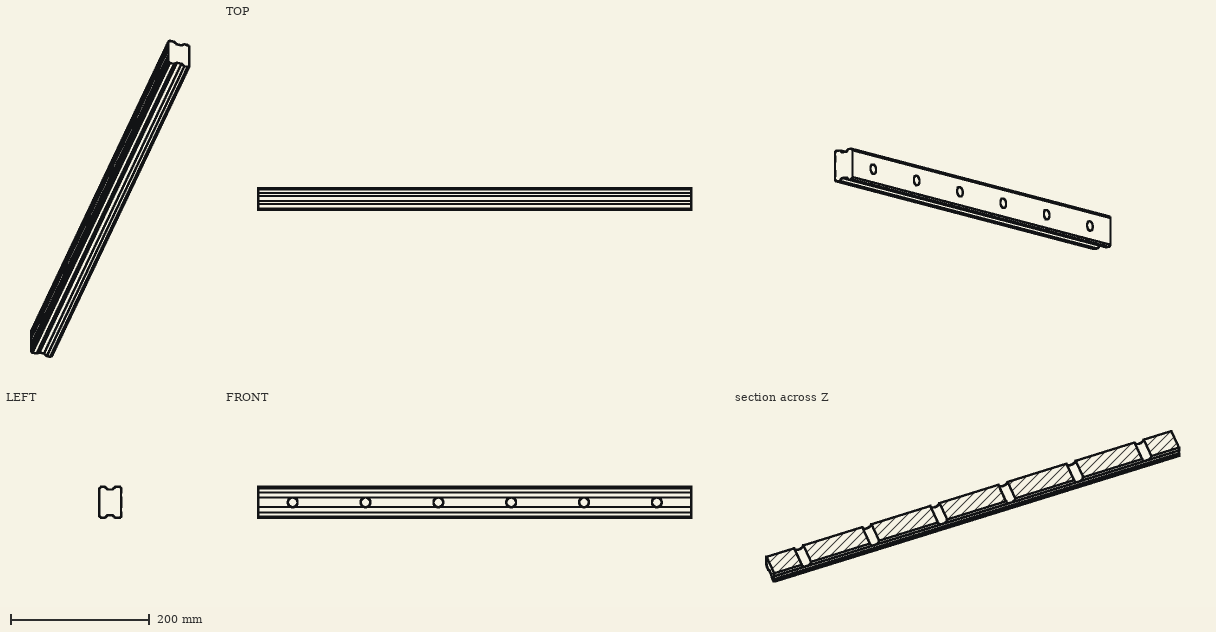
import cadquery as cq

length = 625.0
depth = 32.0
height = 45.0

rear_chamfer = 2.8
front_chamfer = 2.2

groove_depth = 4.0
groove_rear_lip = 8.0
groove_rear_floor = 4.0
groove_front_floor = -3.0
groove_front_lip = -7.5

relief_inner = 7.0
relief_outer = 14.5
relief_depth = 0.3

hole_count = 6
hole_pitch = 105.0
hole_diameter = 14.0

half_depth = depth / 2
half_height = height / 2


def make_rail():
    """Extrude the symmetric grooved section along X."""
    groove_floor = half_height - groove_depth
    upper_outline = [
        (half_depth, half_height - rear_chamfer),
        (half_depth - rear_chamfer, half_height),
        (groove_rear_lip, half_height),
        (groove_rear_floor, groove_floor),
        (groove_front_floor, groove_floor),
        (groove_front_lip, half_height),
        (-half_depth + front_chamfer, half_height),
        (-half_depth, half_height - front_chamfer),
    ]
    lower_outline = [(y, -z) for y, z in reversed(upper_outline)]
    section = cq.Workplane("YZ").polyline(upper_outline + lower_outline).close()
    return section.extrude(length / 2, both=True)


def make_reliefs():
    """Two full-length strips cut into the front face."""
    strip_height = relief_outer - relief_inner
    strip_centre = (relief_outer + relief_inner) / 2
    return (
        cq.Workplane("XY")
        .pushPoints([(0, -half_depth)])
        .box(length, 2 * relief_depth, strip_height, combine=False)
        .translate((0, 0, strip_centre))
        .mirror("XY", union=True)
    )


def make_holes():
    """Cylinders through the full depth of the rail."""
    return (
        cq.Workplane("XZ")
        .rarray(hole_pitch, 6, hole_count, 1)
        .circle(hole_diameter / 2)
        .extrude(depth, both=True)
    )


result = make_rail().cut(make_reliefs()).cut(make_holes())